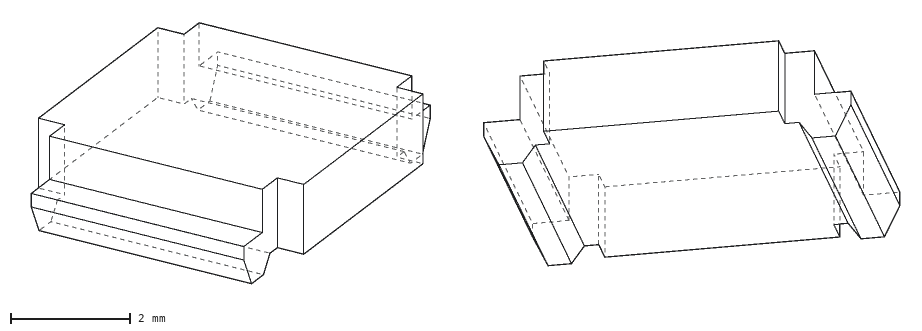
import cadquery as cq

total_width = 5.1
total_length = 6.25
total_height = 1.6

end_width = 4.09
side_length = 4.0
body_length = 5.01
body_bottom = 0.305

lip_top = 0.8
lip_edge_bottom = 0.55
foot_outer_inset = 0.26
foot_inner_inset = 0.66
foot_root_inset = 0.88


def make_block(width, length):
    """Centered block filling the body height."""
    body_height = total_height - body_bottom
    return (
        cq.Workplane("XY", origin=(0, 0, body_bottom))
        .rect(width, length)
        .extrude(body_height)
    )


def make_lip():
    """Lip with a tapered foot on the +Y end, overlapping the body."""
    outer = total_length / 2
    profile = [
        (outer, lip_top),
        (outer, lip_edge_bottom),
        (outer - foot_outer_inset, 0),
        (outer - foot_inner_inset, 0),
        (outer - foot_root_inset, body_bottom),
        (outer - foot_root_inset, lip_top),
    ]
    return cq.Workplane("YZ").polyline(profile).close().extrude(end_width / 2, both=True)


body = make_block(total_width, side_length).union(make_block(end_width, body_length))
lip = make_lip()
result = body.union(lip).union(lip.mirror("XZ"))